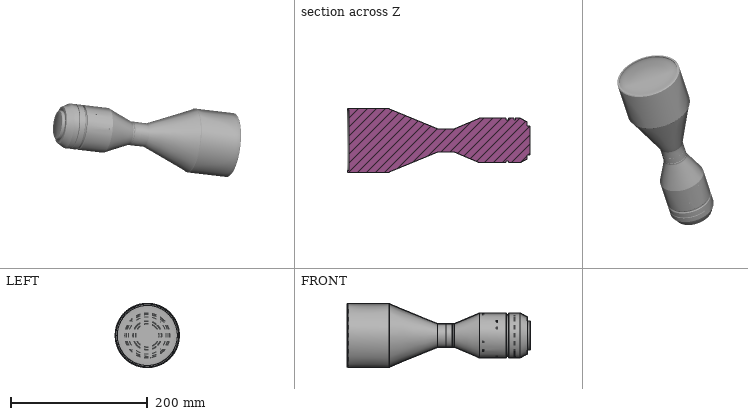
import cadquery as cq
import math

total_length = 267.8
barrel_end = 62.0
waist_start = 132.3
waist_end = 156.6
rear_start = 193.5
bevel_start = 252.8
rear_end = 263.2

barrel_diameter = 94.0
barrel_radius = barrel_diameter / 2
waist_diameter = 34.5
waist_radius = waist_diameter / 2
rear_radius = 33.0
bevel_end_radius = 27.3
spigot_diameter = 42.5
spigot_radius = spigot_diameter / 2
front_chamfer = 1.0
edge_chamfer = 0.8

recess_radius = 44.0
recess_depth = 2.1

groove_start = 232.7
groove_end = 235.5
groove_depth = 2.5
groove_radius = rear_radius - groove_depth
groove_lip_chamfer = 0.5

collar_start = 144.5
collar_diameter = 34.8
collar_radius = collar_diameter / 2
joint_center = 154.0
joint_depth = 0.4

slot_center = 244.7
slot_width = 1.3
slot_depth = 2.5
slot_first_angle = -133.0
slot_last_angle = 63.0

hole_diameter = 2.1
hole_depth = 2.1
holes_per_ring = 3
hole_rings = [(198.7, 103.0), (218.8, 20.0)]


def make_body():
    """Turned body around the X axis."""
    profile = [
        (0, 0),
        (0, barrel_radius - front_chamfer),
        (front_chamfer, barrel_radius),
        (barrel_end - edge_chamfer, barrel_radius),
        (barrel_end, barrel_radius - edge_chamfer),
        (waist_start, waist_radius),
        (collar_start, waist_radius),
        (collar_start, collar_radius),
        (joint_center - joint_depth, collar_radius),
        (joint_center, waist_radius - joint_depth),
        (joint_center + joint_depth, waist_radius),
        (waist_end, waist_radius),
        (rear_start, rear_radius),
        (groove_start - groove_lip_chamfer, rear_radius),
        (groove_start, rear_radius - groove_lip_chamfer),
        (groove_start, groove_radius),
        (groove_end, groove_radius),
        (groove_end, rear_radius - groove_lip_chamfer),
        (groove_end + groove_lip_chamfer, rear_radius),
        (bevel_start, rear_radius),
        (rear_end, bevel_end_radius),
        (rear_end, spigot_radius),
        (total_length - edge_chamfer, spigot_radius),
        (total_length, spigot_radius - edge_chamfer),
        (total_length, 0),
    ]
    return cq.Workplane("XY").polyline(profile).close().revolve(360, (0, 0, 0), (1, 0, 0))


def make_recess():
    """Round recess sunk into the large front face."""
    return cq.Workplane("YZ").circle(recess_radius).extrude(recess_depth)


def make_slot():
    """Part of a ring, swept about X between the two slot angles."""
    return (
        cq.Workplane("XY")
        .center(slot_center, rear_radius)
        .rect(slot_width, 2 * slot_depth)
        .revolve(slot_last_angle - slot_first_angle, (0, -rear_radius, 0), (1, -rear_radius, 0))
        .rotate((0, 0, 0), (1, 0, 0), slot_first_angle)
    )


def make_radial_hole(x, angle):
    """Small blind hole drilled towards the axis."""
    direction = cq.Vector(0, math.cos(math.radians(angle)), math.sin(math.radians(angle)))
    bottom = cq.Vector(x, 0, 0) + direction * (rear_radius - hole_depth)
    return cq.Workplane(cq.Solid.makeCylinder(hole_diameter / 2, 2 * hole_depth, bottom, direction))


result = make_body().cut(make_recess()).cut(make_slot())
for ring_x, first_angle in hole_rings:
    for index in range(holes_per_ring):
        result = result.cut(make_radial_hole(ring_x, first_angle + index * 360 / holes_per_ring))